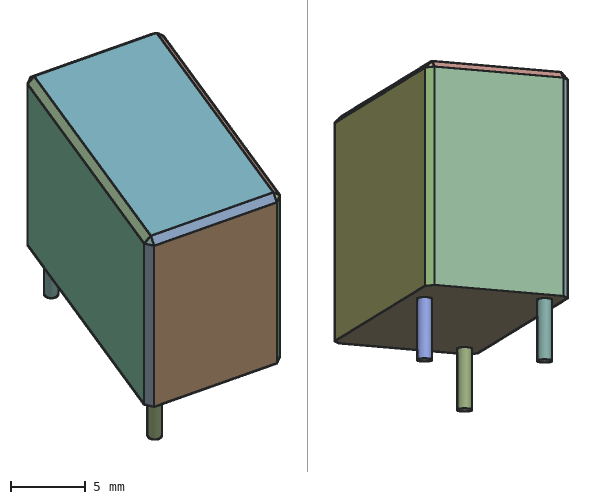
import cadquery as cq

body_length = 18.2
body_width = 10.2
body_height = 15.5
edge_chamfer = 0.5

pin_diameter = 1.0
pin_length = 4.2
grid = 2.54
end_pin_x = 3 * grid
inner_pin_x = 2 * grid
pin_row_y = 1.5 * grid
pin_places = [
    (-end_pin_x, -pin_row_y),
    (-inner_pin_x, pin_row_y),
    (end_pin_x, -pin_row_y),
]


def make_body():
    """Block with chamfered vertical edges and a chamfered top rim."""
    block = cq.Workplane("XY").box(
        body_length, body_width, body_height, centered=(True, True, False)
    )
    return block.edges("|Z or >Z").chamfer(edge_chamfer)


def make_pins():
    """Straight round pins hanging from the underside of the housing."""
    return (
        cq.Workplane("XY")
        .pushPoints(pin_places)
        .circle(pin_diameter / 2)
        .extrude(-pin_length)
    )


result = make_body().union(make_pins())